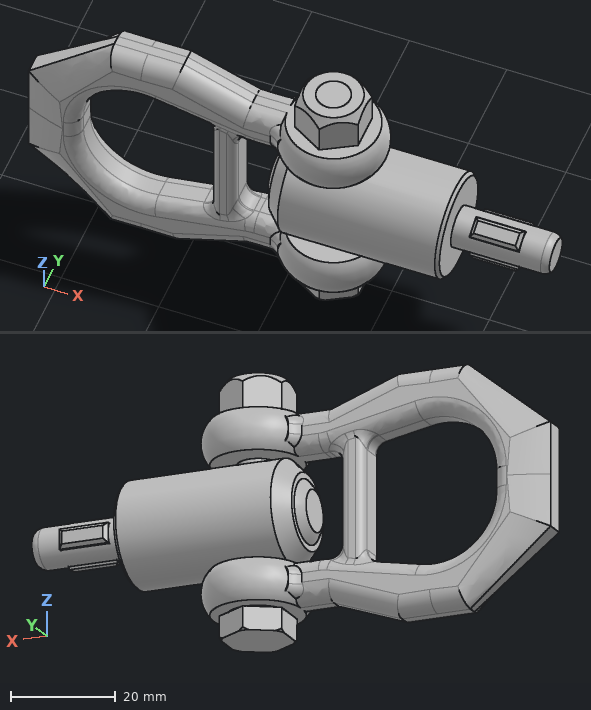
import cadquery as cq
import math


housing_radius = 10.8
housing_front = -7.25
housing_back = 25.7
housing_edge_chamfer = 0.7
nose_tip = -10.3
nose_tip_radius = 7.7
knob_tip = -11.8
knob_base_radius = 6.45
knob_tip_radius = 4.2
shank_radius = 4.2
shank_end = 45.65
shank_tip_length = 1.6
shank_tip_radius = 3.45

key_count = 3
key_start = 29.4
key_length = 10.1
key_width = 4.1
key_top = 5.0
key_floor = 2.8
key_chamfer = 0.75

lug_radius = 10.98
lug_bottom = 10.87
lug_height = 8.63
lug_top = lug_bottom + lug_height
lug_mid = lug_bottom + lug_height / 2
lug_face_radius = 9.25
neck_start = (-12.8, 4.5)
neck_end = (-9.0, 6.3)
neck_height = 6.8
neck_edge_fillet = 2.4
bow_half_width = 4.75
arm_end = -7.0
bow_nose = -61.8
bow_nose_half_flat = 2.1
bow_nose_taper = 8.0
bow_top = 24.65
bow_top_middle = -37.7
bow_round_half_flat = 1.0
bow_round_depth = bow_half_width - bow_round_half_flat
opening_top = 14.9
opening_radius = 12.95
opening_slope = 11.0
opening_bend_radius = 12.0
rim_fillet = 3.0
bar_front = -23.6
bar_back = -18.7
bar_half_width = 4.0
bar_edge_fillet = 1.7
bar_end_fillet = 2.8

bolt_radius = 4.0
thread_radius = 3.4
hex_width = 13.0
hex_corner_diameter = hex_width / math.cos(math.radians(30))
washer_face_height = 0.45
washer_face_radius = 6.0
bolt_head_bottom = -24.7
bolt_head_bevel = 0.5
nut_top = 27.6
nut_face_radius = 5.85
nut_bevel_depth = 2.1


def make_housing():
    """Turned housing with a conical nose, a domed knob and the pin shank, with three key seats."""
    knob_bulge = (
        nose_tip + 0.6 * (knob_tip - nose_tip),
        knob_tip_radius + 0.52 * (knob_base_radius - knob_tip_radius),
    )
    tip_start = shank_end - shank_tip_length
    tip_bulge = (
        tip_start + 0.65 * shank_tip_length,
        shank_tip_radius + 0.6 * (shank_radius - shank_tip_radius),
    )
    body = (
        cq.Workplane("XY")
        .moveTo(knob_tip, 0)
        .lineTo(knob_tip, knob_tip_radius)
        .threePointArc(knob_bulge, (nose_tip, knob_base_radius))
        .lineTo(nose_tip, nose_tip_radius)
        .lineTo(housing_front, housing_radius)
        .lineTo(housing_back - housing_edge_chamfer, housing_radius)
        .lineTo(housing_back, housing_radius - housing_edge_chamfer)
        .lineTo(housing_back, shank_radius)
        .lineTo(tip_start, shank_radius)
        .threePointArc(tip_bulge, (shank_end, shank_tip_radius))
        .lineTo(shank_end, 0)
        .close()
        .revolve(360, (0, 0, 0), (1, 0, 0))
    )
    for index in range(key_count):
        body = body.cut(make_key(index))
    bolt_hole = cq.Workplane("XY").circle(bolt_radius).extrude(housing_radius, both=True)
    return body.cut(bolt_hole)


def make_key(index):
    """One locking key, bevelled around its top; the first one points to +Y."""
    key = (
        cq.Workplane("XZ", origin=(key_start + key_length / 2, key_floor, 0))
        .rect(key_length, key_width)
        .extrude(-(key_top - key_floor))
        .faces(">Y")
        .chamfer(key_chamfer)
    )
    return key.rotate((0, 0, 0), (1, 0, 0), index * 360 / key_count)


def bow_section(outer, inner, half_flat, depth, roundness):
    """Closed section across the bow, from its outer point to its inner point.

    The outer face is flat over half_flat on either side and widens to the full width over depth.
    A roundness of 0 gives straight shoulders and 1 gives shoulders like a quarter circle.
    """
    start = cq.Vector(outer[0], 0, outer[1])
    inward = cq.Vector(inner[0], 0, inner[1]) - start
    length = inward.Length
    direction = inward.normalized()

    def point(distance, y):
        return start + direction * distance + cq.Vector(0, y, 0)

    bulge = 0.5 + roundness * (math.sqrt(0.5) - 0.5)
    middle_y = half_flat + bulge * (bow_half_width - half_flat)
    middle_distance = (1 - bulge) * depth
    edges = [
        cq.Edge.makeLine(point(0, -half_flat), point(0, half_flat)),
        cq.Edge.makeThreePointArc(
            point(0, half_flat), point(middle_distance, middle_y), point(depth, bow_half_width)
        ),
        cq.Edge.makeLine(point(depth, bow_half_width), point(length, bow_half_width)),
        cq.Edge.makeLine(point(length, bow_half_width), point(length, -bow_half_width)),
        cq.Edge.makeLine(point(length, -bow_half_width), point(depth, -bow_half_width)),
        cq.Edge.makeThreePointArc(
            point(depth, -bow_half_width), point(middle_distance, -middle_y), point(0, -half_flat)
        ),
    ]
    return cq.Wire.assembleEdges(edges)


def make_bow_blank():
    """Bow and arms as straight stretches between sections, not yet opened on the inside."""
    nose_shape = (bow_nose_half_flat, bow_nose_taper, 0.15)
    round_shape = (bow_round_half_flat, bow_round_depth, 1.0)
    upper = [
        ((bow_nose, 10.6), (-46.8, 4.3), nose_shape),
        ((-44.6, bow_top), (-41.0, 12.0), round_shape),
        ((bow_top_middle, bow_top), (bow_top_middle, 12.0), round_shape),
        ((-30.3, bow_top), (-33.7, 12.0), round_shape),
        ((-16.2, lug_top), (-17.9, 9.0), round_shape),
        ((arm_end, lug_top), (arm_end, 9.0), round_shape),
    ]
    nose = [((bow_nose, 0), (-46.8, 0), nose_shape)]
    lower = [((a[0], -a[1]), (b[0], -b[1]), shape) for a, b, shape in reversed(upper)]
    wires = [bow_section(a, b, *shape) for a, b, shape in lower + nose + upper]
    return cq.Workplane(obj=cq.Solid.makeLoft(wires, True))


def make_opening():
    """Prism of everything inside the bow and between the arms."""
    arc_z = opening_top - opening_radius
    opening_nose = bow_top_middle - opening_radius
    slope = math.radians(opening_slope)

    def arc_point(angle):
        return (
            bow_top_middle + opening_radius * math.sin(angle),
            arc_z + opening_radius * math.cos(angle),
        )

    arc_middle = arc_point((slope - math.pi / 2) / 2)
    arc_end = arc_point(slope)
    bend_x = arc_end[0] + (arc_end[1] - lug_bottom) / math.tan(slope)
    return (
        cq.Workplane("XZ")
        .moveTo(opening_nose, -arc_z)
        .lineTo(opening_nose, arc_z)
        .threePointArc(arc_middle, arc_end)
        .lineTo(bend_x, lug_bottom)
        .lineTo(0, lug_bottom)
        .lineTo(0, -lug_bottom)
        .lineTo(bend_x, -lug_bottom)
        .lineTo(arc_end[0], -arc_end[1])
        .threePointArc((arc_middle[0], -arc_middle[1]), (opening_nose, -arc_z))
        .close()
        .extrude(bow_half_width * 2, both=True)
        .edges(cq.selectors.BoxSelector((bend_x - 1, -50, -50), (bend_x + 1, 50, 50)))
        .fillet(opening_bend_radius)
    )


def make_lug():
    """Upper lug, a ring with full rounded sides and flat faces, bored for the bolt."""
    return (
        cq.Workplane("XZ")
        .moveTo(bolt_radius, lug_bottom)
        .lineTo(lug_face_radius, lug_bottom)
        .threePointArc((lug_radius, lug_mid), (lug_face_radius, lug_top))
        .lineTo(bolt_radius, lug_top)
        .close()
        .revolve(360, (0, 0, 0), (0, 1, 0))
    )


def make_neck():
    """Flare that widens the upper arm on both sides where it runs into the lug."""
    start_x, start_y = neck_start
    end_x, end_y = neck_end
    root_x = end_x + neck_edge_fillet
    hollow = (
        start_x + 0.65 * (end_x - start_x),
        start_y + 0.35 * (end_y - start_y),
    )
    return (
        cq.Workplane("XY", origin=(0, 0, lug_mid - neck_height / 2))
        .moveTo(start_x, -start_y)
        .lineTo(start_x, start_y)
        .threePointArc(hollow, (end_x, end_y))
        .lineTo(root_x, end_y)
        .lineTo(root_x, -end_y)
        .lineTo(end_x, -end_y)
        .threePointArc((hollow[0], -hollow[1]), (start_x, -start_y))
        .close()
        .extrude(neck_height)
        .faces("<Z or >Z")
        .edges("%CIRCLE")
        .fillet(neck_edge_fillet)
    )


def make_shackle():
    """Bow, cross bar, arms and lugs as one forging."""
    bow = make_bow_blank().cut(make_opening())

    nose_limit = bow_top_middle - opening_radius - 1
    height_limit = 0.9 * opening_top
    rim_zone = cq.selectors.BoxSelector(
        (nose_limit, -lug_radius, -height_limit), (arm_end - 0.5, lug_radius, height_limit)
    )
    bow = bow.faces("<Y or >Y").edges(rim_zone).fillet(rim_fillet)

    bar = (
        cq.Workplane("XY")
        .box(bar_back - bar_front, 2 * bar_half_width, 2 * opening_top)
        .edges("|Z")
        .fillet(bar_edge_fillet)
        .translate(((bar_front + bar_back) / 2, 0, 0))
    )
    bow = bow.union(bar)
    for side in (-1, 1):
        bar_end_zone = cq.selectors.BoxSelector(
            (bar_front - 0.1, -bow_half_width, side * 0.7 * opening_top),
            (bar_back + 0.1, bow_half_width, side * 0.98 * opening_top),
        )
        bow = bow.edges(bar_end_zone).fillet(bar_end_fillet)

    lug = make_lug()
    bolt_hole = cq.Workplane("XY").circle(bolt_radius).extrude(bow_top, both=True)
    neck = make_neck()
    for part in (lug, neck):
        bow = bow.union(part).union(part.mirror("XY"))
    return bow.cut(bolt_hole)


def make_bolt():
    """Hexagon bolt with a washer face; its thinner thread ends flush with the nut."""
    washer_face_bottom = -lug_top - washer_face_height
    head_height = washer_face_bottom - bolt_head_bottom
    head = (
        cq.Workplane("XY", origin=(0, 0, bolt_head_bottom))
        .polygon(6, hex_corner_diameter)
        .extrude(head_height)
        .rotate((0, 0, 0), (0, 0, 1), 30)
    )
    blank = (
        cq.Workplane("XY", origin=(0, 0, bolt_head_bottom))
        .circle(hex_corner_diameter / 2)
        .extrude(head_height)
        .faces("<Z")
        .chamfer(bolt_head_bevel)
    )
    washer_face = (
        cq.Workplane("XY", origin=(0, 0, washer_face_bottom))
        .circle(washer_face_radius)
        .extrude(washer_face_height)
    )
    shank = cq.Workplane("XY", origin=(0, 0, -lug_top)).circle(bolt_radius).extrude(2 * lug_top)
    thread = cq.Workplane("XY", origin=(0, 0, lug_top)).circle(thread_radius).extrude(nut_top - lug_top)
    return head.intersect(blank).union(washer_face).union(shank).union(thread)


def make_nut():
    """Hexagon nut on the upper lug, bevelled on top."""
    nut_height = nut_top - lug_top
    hexagon = (
        cq.Workplane("XY", origin=(0, 0, lug_top))
        .polygon(6, hex_corner_diameter)
        .extrude(nut_height)
        .rotate((0, 0, 0), (0, 0, 1), 30)
    )
    blank = (
        cq.Workplane("XY", origin=(0, 0, lug_top))
        .circle(hex_corner_diameter / 2)
        .extrude(nut_height)
        .faces(">Z")
        .chamfer(nut_bevel_depth, hex_corner_diameter / 2 - nut_face_radius)
    )
    thread = cq.Workplane("XY", origin=(0, 0, lug_top)).circle(thread_radius).extrude(nut_height)
    return hexagon.intersect(blank).cut(thread)


housing = make_housing()
keys = [make_key(index) for index in range(key_count)]
shackle = make_shackle()
bolt = make_bolt()
nut = make_nut()

result = cq.Compound.makeCompound(
    [housing.val(), *[key.val() for key in keys], shackle.val(), bolt.val(), nut.val()]
)